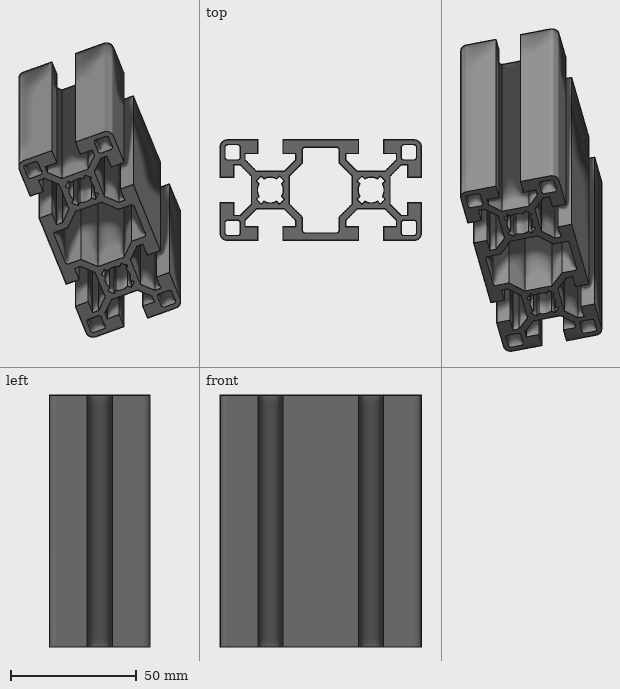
import cadquery as cq
import math

MODULE = 40.0
WIDTH = 2 * MODULE
DEPTH = MODULE
LENGTH = 100.0
CORNER_RADIUS = 3.0

SLOT_OPENING = 10.0
LIP_THICKNESS = 5.5
SLOT_INNER_WIDTH = 20.0
STRUT_OFFSET = 1.95
CORE_SIZE = 15.0

POCKET_WALL = 2.0
POCKET_SIZE = 6.0
POCKET_RADIUS = 1.0

BORE_DIAMETER = 10.2
GROOVE_LENGTH = 13.0
GROOVE_WIDTH = 2.7

CAVITY_WIDTH = 14.5
CAVITY_WALL = 3.0
CAVITY_RADIUS = 1.0

HALF_MODULE = MODULE / 2
HALF_CORE = CORE_SIZE / 2
CORE_FACE_HALF = HALF_CORE - STRUT_OFFSET
MODULE_CENTERS = (-HALF_MODULE, HALF_MODULE)


def body():
    block = cq.Workplane("XY").box(WIDTH, DEPTH, LENGTH, centered=(True, True, False))
    return block.edges("|Z").fillet(CORNER_RADIUS)


def t_slot(center_x, angle):
    """T-slot of the module at center_x; it opens toward +Y before turning by angle."""
    half_opening = SLOT_OPENING / 2
    half_inner = SLOT_INNER_WIDTH / 2
    lip_y = HALF_MODULE - LIP_THICKNESS
    right_side = [
        (half_opening, HALF_MODULE),
        (half_opening, lip_y),
        (half_inner, lip_y),
        (half_inner, half_inner + STRUT_OFFSET),
        (CORE_FACE_HALF, HALF_CORE),
    ]
    left_side = [(-x, y) for x, y in reversed(right_side)]
    slot = cq.Workplane("XY").polyline(right_side + left_side).close().extrude(LENGTH)
    return slot.rotate((0, 0, 0), (0, 0, 1), angle).translate((center_x, 0, 0))


def corner_pockets():
    """Square pockets in the four corners of the section, rounded along their edges."""
    center_x = WIDTH / 2 - POCKET_WALL - POCKET_SIZE / 2
    center_y = DEPTH / 2 - POCKET_WALL - POCKET_SIZE / 2
    pocket = cq.Workplane("XY").center(center_x, center_y).rect(POCKET_SIZE, POCKET_SIZE).extrude(LENGTH)
    pocket = pocket.edges("|Z").fillet(POCKET_RADIUS)
    pair = pocket.union(pocket.mirror("YZ"))
    return pair.union(pair.mirror("XZ"))


def core_hole(center_x):
    hole = cq.Workplane("XY").circle(BORE_DIAMETER / 2).extrude(LENGTH)
    groove = cq.Workplane("XY").rect(GROOVE_LENGTH, GROOVE_WIDTH).extrude(LENGTH)
    for angle in (45, -45):
        hole = hole.union(groove.rotate((0, 0, 0), (0, 0, 1), angle))
    return hole.translate((center_x, 0, 0))


def central_cavity():
    half_width = CAVITY_WIDTH / 2
    half_depth = DEPTH / 2 - CAVITY_WALL
    core_face_x = HALF_MODULE - HALF_CORE
    strut_y = HALF_MODULE - half_width - STRUT_OFFSET
    upper_right = [
        (core_face_x, CORE_FACE_HALF),
        (half_width, strut_y),
        (half_width, half_depth),
    ]
    upper = upper_right + [(-x, y) for x, y in reversed(upper_right)]
    lower = [(x, -y) for x, y in reversed(upper)]
    cavity = cq.Workplane("XY").polyline(upper + lower).close().extrude(LENGTH)
    return cavity.faces("<Y or >Y").edges("|Z").fillet(CAVITY_RADIUS)


result = body()
for module_x in MODULE_CENTERS:
    outward_angle = math.copysign(90, -module_x)
    for slot_angle in (0, 180, outward_angle):
        result = result.cut(t_slot(module_x, slot_angle))
    result = result.cut(core_hole(module_x))
result = result.cut(corner_pockets())
result = result.cut(central_cavity())